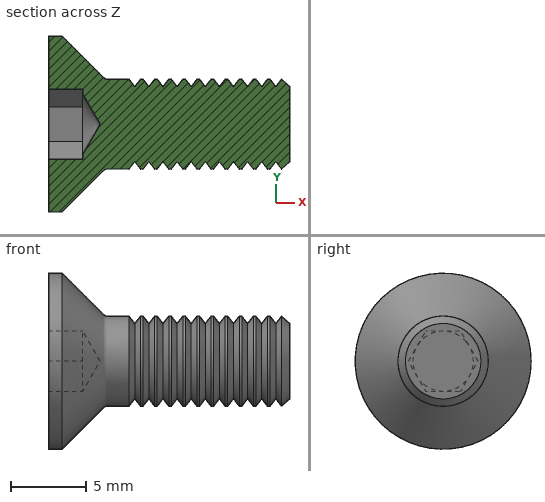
import cadquery as cq
import math

length = 16.0
head_radius = 11.7 / 2
shank_radius = 6.0 / 2

head_rim_length = 0.9
cone_half_angle = math.radians(45)
neck_fillet_radius = 0.3

thread_start = 5.33
groove_count = 11
pitch = 0.936
groove_width = 0.77
thread_depth = 0.5
tip_chamfer_length = 0.56

socket_across_flats = 4.0
socket_depth = 2.25
drill_point_half_angle = math.radians(60)


def revolve_about_x(profile):
    return profile.close().revolve(360, (0, 0, 0), (1, 0, 0))


def screw_blank():
    """Head, neck fillet, plain shank and chamfered tip in one revolved profile."""
    cone_length = (head_radius - shank_radius) / math.tan(cone_half_angle)
    corner_x = head_rim_length + cone_length
    tangent_length = neck_fillet_radius * math.tan(cone_half_angle / 2)
    fillet_start = (
        corner_x - tangent_length * math.cos(cone_half_angle),
        shank_radius + tangent_length * math.sin(cone_half_angle),
    )
    fillet_end = (corner_x + tangent_length, shank_radius)
    fillet_middle = (
        fillet_end[0] - neck_fillet_radius * math.sin(cone_half_angle / 2),
        shank_radius + neck_fillet_radius * (1 - math.cos(cone_half_angle / 2)),
    )
    profile = (
        cq.Workplane("XY")
        .lineTo(0, head_radius)
        .lineTo(head_rim_length, head_radius)
        .lineTo(*fillet_start)
        .threePointArc(fillet_middle, fillet_end)
        .lineTo(length - tip_chamfer_length, shank_radius)
        .lineTo(length, shank_radius - thread_depth)
        .lineTo(length, 0)
    )
    return revolve_about_x(profile)


def thread_groove(start_x):
    """V-shaped ring that cuts one groove."""
    profile = (
        cq.Workplane("XY")
        .moveTo(start_x, shank_radius)
        .lineTo(start_x + groove_width / 2, shank_radius - thread_depth)
        .lineTo(start_x + groove_width, shank_radius)
    )
    return revolve_about_x(profile)


def hex_socket():
    """Hexagon with corners on the Y axis, ending in a conical drill point."""
    across_corners = socket_across_flats / math.cos(math.pi / 6)
    drill_radius = socket_across_flats / 2
    point_length = drill_radius / math.tan(drill_point_half_angle)
    hexagon = cq.Workplane("YZ").polygon(6, across_corners).extrude(socket_depth)
    drill_point = revolve_about_x(
        cq.Workplane("XY")
        .moveTo(socket_depth, 0)
        .lineTo(socket_depth, drill_radius)
        .lineTo(socket_depth + point_length, 0)
    )
    return hexagon.union(drill_point)


result = screw_blank()
for index in range(groove_count):
    result = result.cut(thread_groove(thread_start + index * pitch))
result = result.cut(hex_socket())